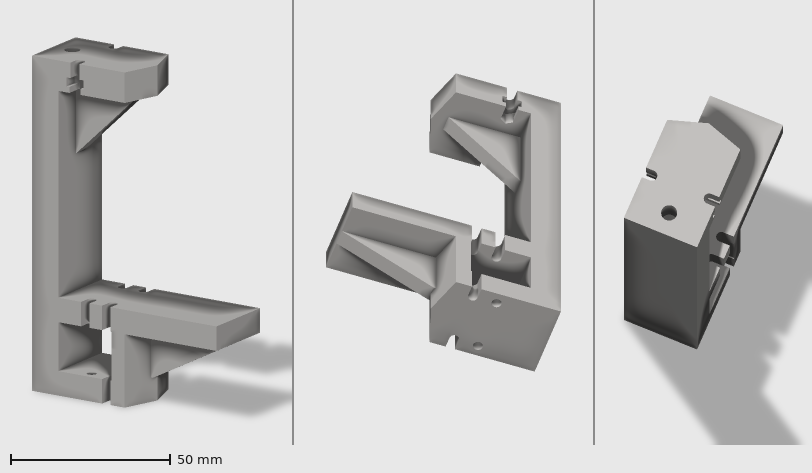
import cadquery as cq
import math

height = 109.6
depth = 25.0
shelf_reach = 69.5

column_width = 10.0
arm_thickness = 10.0
arm_shoulder = 35.0
arm_tip = 39.0

shelf_top = 32.0
shelf_underside = 24.0
base_thickness = 8.0
window_end = 30.0

gusset_thickness = 5.0
arm_gusset_end = 34.0
arm_gusset_foot = 76.7

pilot_diameter = 5.0
pilot_x = 7.0
pilot_depth = 10.0
drill_point_angle = 118.0

arm_slot_x = 16.2
arm_slot_width = 3.4
arm_slot_inset = 2.7
nut_width = 6.4
nut_opening_width = 4.2
nut_pocket_top = 104.6
nut_pocket_floor = 101.6

inner_screw_x = 20.2
outer_screw_x = 28.1
shelf_screw_width = 3.2
shelf_screw_inset = 3.6

arm_underside = height - arm_thickness
half_depth = depth / 2
SIDES = (-1, 1)


def block(x_start, x_end, z_start, z_end, width=depth):
    """Box centred on Y."""
    size = (x_end - x_start, width, z_end - z_start)
    return cq.Workplane("XY").box(*size, centered=(False, True, False)).translate((x_start, 0, z_start))


def pointed_plate(z_start, z_end):
    """Plate from the back of the column to a shallow pointed nose."""
    outline = [
        (0, -half_depth),
        (arm_shoulder, -half_depth),
        (arm_tip, 0),
        (arm_shoulder, half_depth),
        (0, half_depth),
    ]
    return cq.Workplane("XY").workplane(offset=z_start).polyline(outline).close().extrude(z_end - z_start)


def gusset(corners):
    """Triangular web on the centre plane, given by its XZ corners."""
    return cq.Workplane("XZ").polyline(corners).close().extrude(gusset_thickness / 2, both=True)


def round_hole(x, y, diameter, z_start, z_end):
    """Vertical cylinder."""
    return cq.Workplane("XY").workplane(offset=z_start).center(x, y).circle(diameter / 2).extrude(z_end - z_start)


def side_channel(x, side, inset, width, z_start, z_end):
    """Straight channel from a side face in to the given inset."""
    channel = block(x - width / 2, x + width / 2, z_start, z_end, inset)
    return channel.translate((0, side * (half_depth - inset / 2), 0))


def screw_slot(x, side, inset, width, z_start, z_end):
    """Round-ended slot open to a side face."""
    end = round_hole(x, side * (half_depth - inset), width, z_start, z_end)
    return end.union(side_channel(x, side, inset, width, z_start, z_end))


def nut_slot(x, side, inset, width, z_start, z_end):
    """Slot open to a side face, ending in half a hexagon with its corner inward."""
    corner_diameter = width / math.cos(math.radians(30))
    hexagon = (
        cq.Workplane("XY")
        .polygon(6, corner_diameter)
        .extrude(z_end - z_start)
        .rotate((0, 0, 0), (0, 0, 1), 30)
        .translate((x, side * (half_depth - inset), z_start))
    )
    return hexagon.union(side_channel(x, side, inset, width, z_start, z_end))


def nut_opening(x, side, inset, pocket_width, opening_width, z_start, z_end):
    """Nut slot narrowed by a lip along each flank."""
    opening = block(x - opening_width / 2, x + opening_width / 2, z_start, z_end)
    return nut_slot(x, side, inset, pocket_width, z_start, z_end).intersect(opening)


def pilot_hole():
    """Blind hole with a conical drill point."""
    radius = pilot_diameter / 2
    point_length = radius / math.tan(math.radians(drill_point_angle / 2))
    cylinder_bottom = height - pilot_depth
    profile = [
        (0, height),
        (radius, height),
        (radius, cylinder_bottom),
        (0, cylinder_bottom - point_length),
    ]
    hole = cq.Workplane("XZ").polyline(profile).close().revolve(360, (0, 0, 0), (0, 1, 0))
    return hole.translate((pilot_x, 0, 0))


result = (
    block(0, column_width, 0, height)
    .union(pointed_plate(arm_underside, height))
    .union(pointed_plate(0, shelf_underside))
    .union(block(0, shelf_reach, shelf_underside, shelf_top))
    .cut(block(column_width, window_end, base_thickness, shelf_underside))
)

result = result.union(
    gusset(
        [
            (column_width, arm_gusset_foot),
            (column_width, arm_underside),
            (arm_gusset_end, arm_underside),
        ]
    )
).union(
    gusset(
        [
            (arm_shoulder, base_thickness),
            (arm_tip, base_thickness),
            (shelf_reach, shelf_underside),
            (arm_shoulder, shelf_underside),
        ]
    )
)

result = result.cut(pilot_hole())

for side in SIDES:
    slot = screw_slot(arm_slot_x, side, arm_slot_inset, arm_slot_width, nut_pocket_top, height)
    pocket = nut_slot(arm_slot_x, side, arm_slot_inset, nut_width, nut_pocket_floor, nut_pocket_top)
    opening = nut_opening(
        arm_slot_x, side, arm_slot_inset, nut_width, nut_opening_width, arm_underside, nut_pocket_floor
    )
    result = result.cut(slot).cut(pocket).cut(opening)

for side in SIDES:
    hole_y = side * (half_depth - shelf_screw_inset)
    for x in (inner_screw_x, outer_screw_x):
        result = result.cut(
            screw_slot(x, side, shelf_screw_inset, shelf_screw_width, shelf_underside, shelf_top)
        )
    result = result.cut(
        screw_slot(outer_screw_x, side, shelf_screw_inset, shelf_screw_width, 0, base_thickness)
    ).cut(round_hole(inner_screw_x, hole_y, shelf_screw_width, 0, base_thickness))